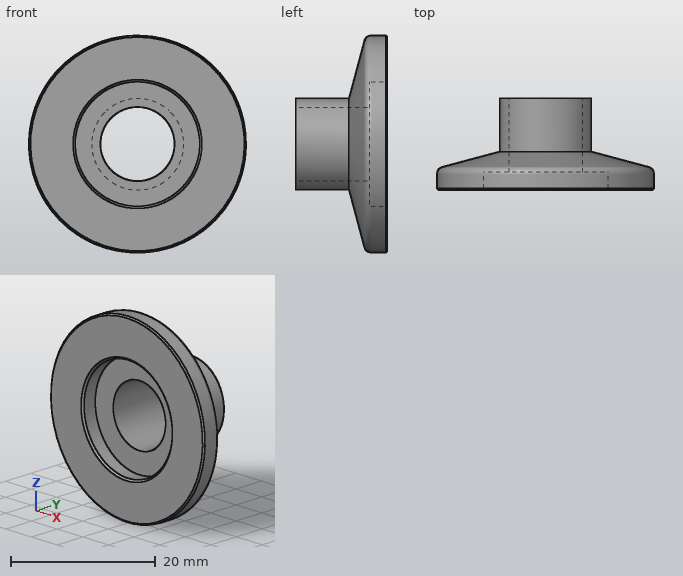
import cadquery as cq
import math

flange_diameter = 30.0
length = 12.7
tube_diameter = 12.7
bore_diameter = 10.2

cone_angle = math.radians(15)
cone_base = 5.3
rim_fillet = 1.0
face_chamfer = 0.25

recess_diameter = 17.2
recess_depth = 2.5
recess_chamfer = 0.3

flange_radius = flange_diameter / 2
tube_radius = tube_diameter / 2
bore_radius = bore_diameter / 2
recess_radius = recess_diameter / 2

face_y = -length / 2
back_y = length / 2
recess_floor_y = face_y + recess_depth
cone_top_y = face_y + cone_base
rim_top_y = cone_top_y - (flange_radius - tube_radius) * math.tan(cone_angle)

half_section = [
    (recess_floor_y, bore_radius),
    (recess_floor_y, recess_radius),
    (face_y + recess_chamfer, recess_radius),
    (face_y, recess_radius + recess_chamfer),
    (face_y, flange_radius - face_chamfer),
    (face_y + face_chamfer, flange_radius),
    (rim_top_y, flange_radius),
    (cone_top_y, tube_radius),
    (back_y, tube_radius),
    (back_y, bore_radius),
]
body = cq.Workplane("YZ").polyline(half_section).close().revolve(360, (0, 0, 0), (1, 0, 0))

widest_circles = cq.selectors.RadiusNthSelector(-1)
result = body.edges("%CIRCLE").edges(widest_circles).edges(">Y").fillet(rim_fillet)